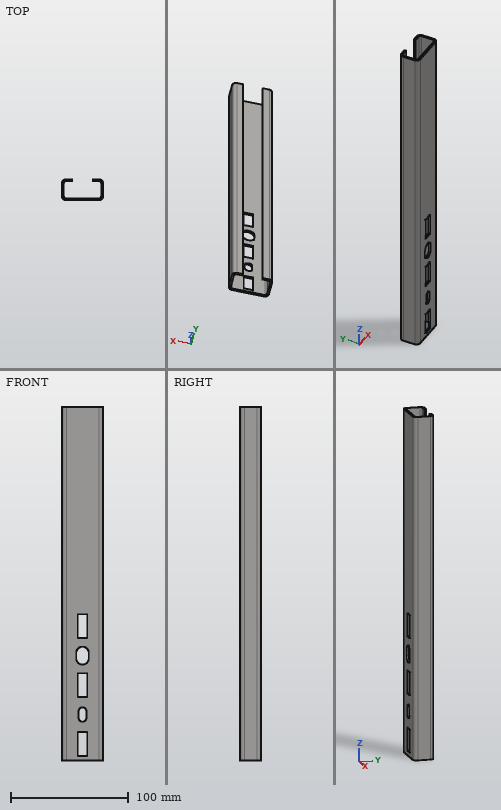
import cadquery as cq

WIDTH = 35.0
DEPTH = 18.0
LENGTH = 300.0
WALL = 1.75
BEND_RADIUS = 3.5
MOUTH_WIDTH = 17.0

FIRST_HOLE_HEIGHT = 14.0
HOLE_PITCH = 25.0
WINDOW_WIDTH = 8.0
WINDOW_HEIGHT = 20.0
SMALL_SLOT_WIDTH = 6.5
SMALL_SLOT_HEIGHT = 12.0
LARGE_SLOT_WIDTH = 10.5
LARGE_SLOT_HEIGHT = 15.0

WEB_FACE_Y = -DEPTH / 2
BOTTOM_Z = -LENGTH / 2


def rounded_bar(width, depth, corner_radius):
    """Full-length bar with its four upright edges rounded."""
    return cq.Workplane("XY").box(width, depth, LENGTH).edges("|Z").fillet(corner_radius)


def c_rail():
    """Bent sheet tube, opened along the +Y side to leave two lips."""
    outer = rounded_bar(WIDTH, DEPTH, BEND_RADIUS)
    inner = rounded_bar(WIDTH - 2 * WALL, DEPTH - 2 * WALL, BEND_RADIUS - WALL)
    mouth = cq.Workplane("XY").box(MOUTH_WIDTH, DEPTH / 2, LENGTH).translate((0, DEPTH / 4, 0))
    return outer.cut(inner).cut(mouth)


def web_plane(hole_index):
    """Sketch plane on the outer web face, centred on the given hole."""
    height = BOTTOM_Z + FIRST_HOLE_HEIGHT + hole_index * HOLE_PITCH
    return cq.Workplane("XZ", origin=(0, WEB_FACE_Y, height))


def window(hole_index):
    """Rectangular punch through the web."""
    return web_plane(hole_index).rect(WINDOW_WIDTH, WINDOW_HEIGHT).extrude(-WALL)


def slot(hole_index, width, height):
    """Upright round-ended punch through the web."""
    return web_plane(hole_index).slot2D(height, width, 90).extrude(-WALL)


punches = [
    window(0),
    slot(1, SMALL_SLOT_WIDTH, SMALL_SLOT_HEIGHT),
    window(2),
    slot(3, LARGE_SLOT_WIDTH, LARGE_SLOT_HEIGHT),
    window(4),
]

result = c_rail()
for punch in punches:
    result = result.cut(punch)